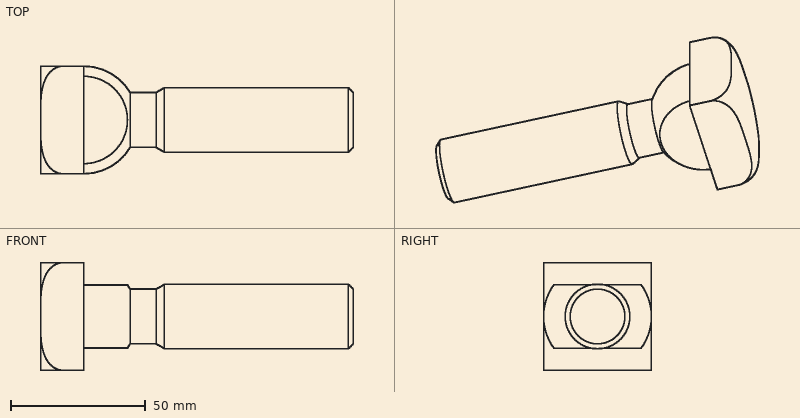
import cadquery as cq

total_length = 116.0
head_width = 40.0
head_thickness = 16.0
corner_round = 8.2
boss_thickness = 23.4
neck_diameter = 20.4
neck_end = 42.8
shank_start = 45.9
shank_diameter = 24.0
tip_chamfer = 1.9

head_radius = head_width / 2
neck_radius = neck_diameter / 2
shank_radius = shank_diameter / 2


def make_head():
    """Square plate whose corners are trimmed by a disc with a rounded front rim."""
    plate = cq.Workplane("YZ").rect(head_width, head_width).extrude(head_thickness)
    rounded_disc = (
        cq.Workplane("YZ")
        .circle(head_radius + corner_round)
        .extrude(head_thickness)
        .faces("<X")
        .edges()
        .fillet(corner_round)
    )
    return plate.intersect(rounded_disc)


def make_boss():
    """Half ball behind the head, cut flat above and below."""
    ball = cq.Workplane("XY").sphere(head_radius).translate((head_thickness, 0, 0))
    slab = (
        cq.Workplane("XY")
        .box(head_radius, head_width, boss_thickness, centered=(False, True, True))
        .translate((head_thickness, 0, 0))
    )
    return ball.intersect(slab)


def make_shank():
    """Turned neck, conical shoulder and shank with a chamfered tip."""
    return (
        cq.Workplane("XY")
        .moveTo(head_thickness, 0)
        .lineTo(head_thickness, neck_radius)
        .lineTo(neck_end, neck_radius)
        .lineTo(shank_start, shank_radius)
        .lineTo(total_length - tip_chamfer, shank_radius)
        .lineTo(total_length, shank_radius - tip_chamfer)
        .lineTo(total_length, 0)
        .close()
        .revolve(360, (0, 0, 0), (1, 0, 0))
    )


result = make_head().union(make_boss()).union(make_shank())